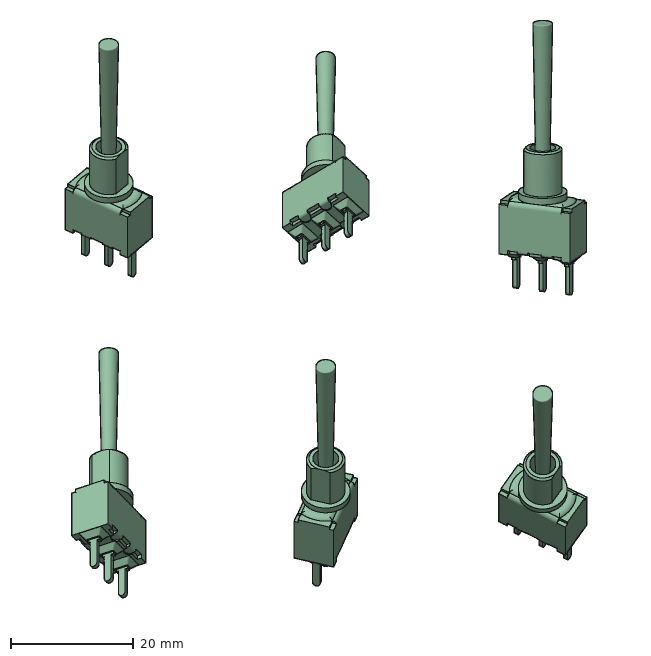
import cadquery as cq

CASE_LENGTH = 12.7
CASE_WIDTH = 6.85
CASE_HEIGHT = 9.05
LEDGE_WIDTH = 0.75
LEDGE_DROP = 0.55
COVER_LENGTH = 9.55
COVER_EDGE_RUN = 0.75
COVER_EDGE_RISE = 0.83
COVER_BOTTOM = 0.75
BASE_INSET = 0.75

TAB_WIDTH = 1.93
TAB_SPACING = 4.3
TAB_BEND_RADIUS = 0.5
TAB_REACH = 1.38

CROWN_RADIUS = 5.5
CROWN_HEIGHT = 0.4
CROWN_EDGE_RUN = 0.83

FLANGE_DIAMETER = 8.0
FLANGE_THICKNESS = 1.1
BUSHING_DIAMETER = 6.35
BUSHING_HEIGHT = 7.5
BUSHING_FLAT_X = 2.7
RIM_CHAMFER_WIDTH = 0.4
RIM_CHAMFER_HEIGHT = 0.28
BORE_DIAMETER = 4.2

PIN_PITCH = 4.73
PIN_DROP = 6.55
PIN_THICKNESS = 0.75
PIN_WIDTH = 1.3
SHOULDER_WIDTH = 2.1
SHOULDER_DROP = 1.45
FOOT_DROP = 1.0
FOOT_TOP_LENGTH = 3.1
FOOT_TOP_WIDTH = 4.18
FOOT_BOTTOM_LENGTH = 1.3
FOOT_BOTTOM_WIDTH = 2.4
FOOT_CORNER_RADIUS = 0.28

TOTAL_HEIGHT = 45.9
LEVER_TOP_DIAMETER = 3.25
LEVER_BASE_DIAMETER = 2.2
LEVER_TIP_RADIUS = 0.15

tab_bottom = COVER_BOTTOM - TAB_BEND_RADIUS
flange_bottom = CASE_HEIGHT + CROWN_HEIGHT
flange_top = flange_bottom + FLANGE_THICKNESS
bushing_top = flange_top + BUSHING_HEIGHT
crown_half_width = CASE_WIDTH / 2 - COVER_EDGE_RUN
ball_radius = BORE_DIAMETER / 2
ball_center_z = flange_top
lever_top = TOTAL_HEIGHT - PIN_DROP


def block(length, width, bottom, top):
    """Box centred on the Z axis between two heights."""
    return cq.Workplane("XY").workplane(offset=bottom).rect(length, width).extrude(top - bottom)


def make_cover():
    """Middle of the case, rounded along its long top edges from upright sides to the crown."""
    half_width = CASE_WIDTH / 2
    side_top = CASE_HEIGHT - COVER_EDGE_RISE
    edge_radius = (COVER_EDGE_RUN**2 + COVER_EDGE_RISE**2) / (2 * COVER_EDGE_RUN)
    return (
        cq.Workplane("YZ")
        .moveTo(-half_width, COVER_BOTTOM)
        .lineTo(half_width, COVER_BOTTOM)
        .lineTo(half_width, side_top)
        .radiusArc((crown_half_width, CASE_HEIGHT), -edge_radius)
        .lineTo(-crown_half_width, CASE_HEIGHT)
        .radiusArc((-half_width, side_top), -edge_radius)
        .close()
        .extrude(COVER_LENGTH / 2, both=True)
    )


def make_case():
    end_length = (CASE_LENGTH - COVER_LENGTH) / 2
    base = block(COVER_LENGTH, CASE_WIDTH - 2 * BASE_INSET, 0, COVER_BOTTOM)
    case = make_cover().union(base)
    end_profile = block(end_length, CASE_WIDTH, 0, CASE_HEIGHT - LEDGE_DROP).union(
        block(end_length, CASE_WIDTH - 2 * LEDGE_WIDTH, 0, CASE_HEIGHT)
    )
    for side in (-1, 1):
        case = case.union(end_profile.translate((side * (COVER_LENGTH + end_length) / 2, 0, 0)))
    return case


def make_tab():
    """Tab on the -Y side, bent inward under the cover."""
    return (
        cq.Workplane("XY")
        .box(TAB_WIDTH, TAB_REACH, COVER_BOTTOM, centered=(True, False, False))
        .translate((0, -CASE_WIDTH / 2, tab_bottom))
        .edges("|X and <Y and <Z")
        .fillet(TAB_BEND_RADIUS)
    )


def make_tab_scoop():
    """Half-round hollow in the base below the -Y tab."""
    scoop = cq.Workplane("XY").circle(TAB_WIDTH / 2).extrude(tab_bottom)
    return scoop.translate((0, BASE_INSET - CASE_WIDTH / 2, 0))


def crown_section(plane, half_size):
    """Half outline of the crown, convex at its outer edge and level at its top."""
    edge_radius = (CROWN_EDGE_RUN**2 + CROWN_HEIGHT**2) / (2 * CROWN_HEIGHT)
    return (
        cq.Workplane(plane)
        .moveTo(0, CASE_HEIGHT)
        .lineTo(half_size, CASE_HEIGHT)
        .radiusArc((half_size - CROWN_EDGE_RUN, flange_bottom), -edge_radius)
        .lineTo(0, flange_bottom)
        .close()
    )


def make_crown():
    disc = crown_section("XZ", CROWN_RADIUS).revolve(360, (0, 0, 0), (0, 1, 0))
    half_bar = crown_section("YZ", crown_half_width).extrude(CROWN_RADIUS, both=True)
    bar = half_bar.union(half_bar.mirror("XZ"))
    return disc.intersect(bar)


def make_bushing():
    radius = BUSHING_DIAMETER / 2
    flange = cq.Workplane("XY").workplane(offset=flange_bottom).circle(FLANGE_DIAMETER / 2)
    flange = flange.extrude(FLANGE_THICKNESS)
    barrel = (
        cq.Workplane("XZ")
        .moveTo(0, flange_top)
        .lineTo(radius, flange_top)
        .lineTo(radius, bushing_top - RIM_CHAMFER_HEIGHT)
        .lineTo(radius - RIM_CHAMFER_WIDTH, bushing_top)
        .lineTo(0, bushing_top)
        .close()
        .revolve(360, (0, 0, 0), (0, 1, 0))
    )
    kept_length = radius + BUSHING_FLAT_X
    flat_limit = block(kept_length, BUSHING_DIAMETER, flange_top, bushing_top)
    flat_limit = flat_limit.translate((BUSHING_FLAT_X - kept_length / 2, 0, 0))
    return flange.union(barrel.intersect(flat_limit))


def make_socket():
    """Bore of the bushing with a spherical seat for the lever ball."""
    bore = cq.Workplane("XY").workplane(offset=ball_center_z).circle(ball_radius)
    bore = bore.extrude(bushing_top - ball_center_z)
    return bore.union(cq.Workplane("XY").sphere(ball_radius).translate((0, 0, ball_center_z)))


def make_terminal():
    """Tapered foot with a shouldered pin that ends in a half round."""
    foot = (
        cq.Workplane("XY")
        .rect(FOOT_TOP_LENGTH, FOOT_TOP_WIDTH)
        .workplane(offset=-FOOT_DROP)
        .rect(FOOT_BOTTOM_LENGTH, FOOT_BOTTOM_WIDTH)
        .loft(ruled=True)
        .edges("not(|X or |Y)")
        .fillet(FOOT_CORNER_RADIUS)
    )
    shoulder = block(PIN_THICKNESS, SHOULDER_WIDTH, -SHOULDER_DROP, -FOOT_DROP)
    half_width = PIN_WIDTH / 2
    pin = (
        cq.Workplane("YZ")
        .moveTo(-half_width, -SHOULDER_DROP)
        .lineTo(-half_width, half_width - PIN_DROP)
        .threePointArc((0, -PIN_DROP), (half_width, half_width - PIN_DROP))
        .lineTo(half_width, -SHOULDER_DROP)
        .close()
        .extrude(PIN_THICKNESS / 2, both=True)
    )
    return foot.union(shoulder).union(pin)


def make_housing():
    housing = make_case().union(make_crown()).union(make_bushing())
    tab = make_tab()
    scoop = make_tab_scoop()
    for x in (-TAB_SPACING / 2, TAB_SPACING / 2):
        placed_tab = tab.translate((x, 0, 0))
        housing = housing.union(placed_tab).union(placed_tab.mirror("XZ"))
        placed_scoop = scoop.translate((x, 0, 0))
        housing = housing.cut(placed_scoop).cut(placed_scoop.mirror("XZ"))
    terminal = make_terminal()
    for position in (-1, 0, 1):
        housing = housing.union(terminal.translate((position * PIN_PITCH, 0, 0)))
    return housing.cut(make_socket())


def make_lever():
    """Handle that widens towards its tip, standing on a ball."""
    base_radius = LEVER_BASE_DIAMETER / 2
    top_radius = LEVER_TOP_DIAMETER / 2
    ball = cq.Workplane("XY").sphere(ball_radius).translate((0, 0, ball_center_z))
    handle = (
        cq.Workplane("XZ")
        .moveTo(0, ball_center_z)
        .lineTo(base_radius, ball_center_z)
        .lineTo(top_radius, lever_top)
        .lineTo(0, lever_top)
        .close()
        .revolve(360, (0, 0, 0), (0, 1, 0))
        .faces(">Z")
        .edges()
        .fillet(LEVER_TIP_RADIUS)
    )
    return handle.union(ball)


housing = make_housing()
lever = make_lever()
result = cq.Compound.makeCompound([housing.val(), lever.val()])